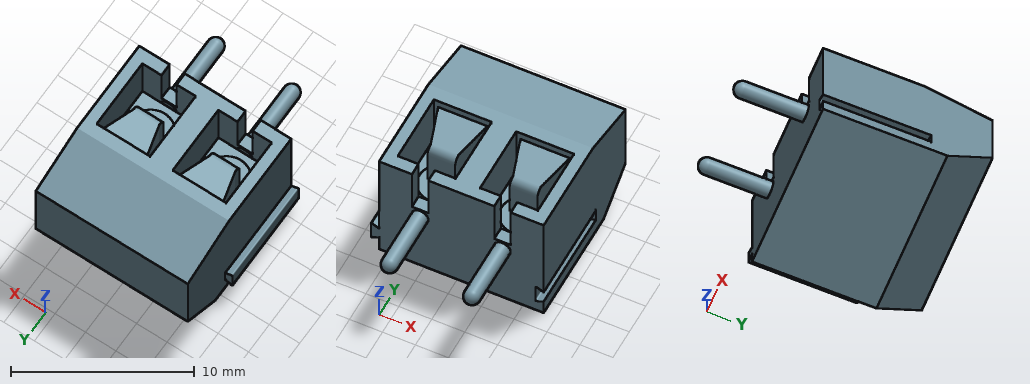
import cadquery as cq
import math


POLES = 2
PITCH = 5.0
HOUSING_WIDTH = POLES * PITCH
HOUSING_DEPTH = 10.0
HOUSING_HEIGHT = 7.6
TOP_FLAT_DEPTH = 6.0
TOP_SLOPE_ANGLE = 15
BOTTOM_FLAT_DEPTH = 7.33
BOTTOM_SLOPE_ANGLE = 35

POCKET_WIDTH = 3.51
POCKET_FRONT_Y = 0.8
POCKET_BACK_Y = 5.2
POCKET_FLOOR_Z = HOUSING_HEIGHT - 3.41
NOTCH_WIDTH = 1.0
NOTCH_FLOOR_Z = HOUSING_HEIGHT - 2.81

RAIL_LENGTH = 6.39
RAIL_CENTER_Z = 1.39
RAIL_PROJECTION = 0.5
RAIL_ROOT_HEIGHT = 0.81
RAIL_FLANK_ANGLE = 25
RAIL_CORNER_RADIUS = 0.07

PIN_RADIUS = 0.5
PIN_PROJECTION = 4.2
PIN_Z = 4.19

CLAMP_BACK_WIDTH = 3.0
CLAMP_FRONT_WIDTH = 1.69
CLAMP_FRONT_Y = 2.57
CLAMP_BACK_Z = HOUSING_HEIGHT - 0.51
CLAMP_SLOPE_ANGLE = 10
CLAMP_NOSE_RADIUS = 0.5

DISC_RADIUS = 1.33
DISC_THICKNESS = 1.0
DISC_Y = 2.57

POLE_CENTERS = [(pole + 0.5) * PITCH for pole in range(POLES)]


def side_prism(outline, width, center_x):
    """Extrude a closed YZ outline symmetrically about X = center_x."""
    return outline.extrude(width / 2, both=True).translate((center_x, 0, 0))


def housing_shell():
    """Block with the top and bottom edges of its back bevelled."""
    top_drop = (HOUSING_DEPTH - TOP_FLAT_DEPTH) * math.tan(math.radians(TOP_SLOPE_ANGLE))
    bottom_rise = (HOUSING_DEPTH - BOTTOM_FLAT_DEPTH) * math.tan(math.radians(BOTTOM_SLOPE_ANGLE))
    outline = cq.Workplane("YZ").polyline([
        (0, 0),
        (BOTTOM_FLAT_DEPTH, 0),
        (HOUSING_DEPTH, bottom_rise),
        (HOUSING_DEPTH, HOUSING_HEIGHT - top_drop),
        (TOP_FLAT_DEPTH, HOUSING_HEIGHT),
        (0, HOUSING_HEIGHT),
    ]).close()
    return side_prism(outline, HOUSING_WIDTH, HOUSING_WIDTH / 2)


def dovetail(root_x):
    """Dovetail bar that widens toward -X from its root, with its outer corners rounded."""
    tip_x = root_x - RAIL_PROJECTION
    root_half = RAIL_ROOT_HEIGHT / 2
    tip_half = root_half + RAIL_PROJECTION * math.tan(math.radians(RAIL_FLANK_ANGLE))
    return (
        cq.Workplane("XZ")
        .polyline([
            (root_x, -root_half),
            (tip_x, -tip_half),
            (tip_x, tip_half),
            (root_x, root_half),
        ])
        .close()
        .extrude(-RAIL_LENGTH)
        .edges("<X and |Y")
        .fillet(RAIL_CORNER_RADIUS)
        .translate((0, 0, RAIL_CENTER_Z))
    )


def wire_opening(center_x):
    """Pocket open to the top, together with its notch through the front wall."""
    pocket = cq.Workplane("XY").box(
        POCKET_WIDTH, POCKET_BACK_Y - POCKET_FRONT_Y, HOUSING_HEIGHT - POCKET_FLOOR_Z,
        centered=(True, False, False),
    ).translate((center_x, POCKET_FRONT_Y, POCKET_FLOOR_Z))
    notch = cq.Workplane("XY").box(
        NOTCH_WIDTH, POCKET_FRONT_Y, HOUSING_HEIGHT - NOTCH_FLOOR_Z,
        centered=(True, False, False),
    ).translate((center_x, 0, NOTCH_FLOOR_Z))
    return pocket.union(notch)


def make_pin(center_x):
    """Round pin that ends inside the front wall and has a hemispherical tip."""
    tip_y = -PIN_PROJECTION
    shoulder_y = tip_y + PIN_RADIUS
    arc_offset = PIN_RADIUS * math.sqrt(0.5)
    return (
        cq.Workplane("YZ")
        .moveTo(tip_y, 0)
        .threePointArc((shoulder_y - arc_offset, arc_offset), (shoulder_y, PIN_RADIUS))
        .lineTo(POCKET_FRONT_Y, PIN_RADIUS)
        .lineTo(POCKET_FRONT_Y, 0)
        .close()
        .revolve(360, (0, 0, 0), (1, 0, 0))
        .translate((center_x, 0, PIN_Z))
    )


def make_clamp(center_x):
    """Block with a sloping top and a rounded nose, narrowing toward the nose."""
    slope = math.radians(CLAMP_SLOPE_ANGLE)
    nose_y = CLAMP_FRONT_Y + CLAMP_NOSE_RADIUS
    slope_end_y = nose_y - CLAMP_NOSE_RADIUS * math.sin(slope)
    slope_end_z = CLAMP_BACK_Z - (POCKET_BACK_Y - slope_end_y) * math.tan(slope)
    nose_z = slope_end_z - CLAMP_NOSE_RADIUS * math.cos(slope)
    middle = (math.pi / 2 - slope) / 2
    arc_middle = (
        nose_y - CLAMP_NOSE_RADIUS * math.cos(middle),
        nose_z + CLAMP_NOSE_RADIUS * math.sin(middle),
    )
    profile = (
        cq.Workplane("YZ")
        .moveTo(POCKET_BACK_Y, POCKET_FLOOR_Z)
        .lineTo(POCKET_BACK_Y, CLAMP_BACK_Z)
        .lineTo(slope_end_y, slope_end_z)
        .threePointArc(arc_middle, (CLAMP_FRONT_Y, nose_z))
        .lineTo(CLAMP_FRONT_Y, POCKET_FLOOR_Z)
        .close()
    )
    body = side_prism(profile, CLAMP_BACK_WIDTH, center_x)
    plan = (
        cq.Workplane("XY")
        .polyline([
            (center_x - CLAMP_FRONT_WIDTH / 2, CLAMP_FRONT_Y),
            (center_x + CLAMP_FRONT_WIDTH / 2, CLAMP_FRONT_Y),
            (center_x + CLAMP_FRONT_WIDTH / 2, slope_end_y),
            (center_x + CLAMP_BACK_WIDTH / 2, POCKET_BACK_Y),
            (center_x - CLAMP_BACK_WIDTH / 2, POCKET_BACK_Y),
            (center_x - CLAMP_FRONT_WIDTH / 2, slope_end_y),
        ])
        .close()
        .extrude(HOUSING_HEIGHT)
    )
    return body.intersect(plan).solids()


def make_disc(center_x):
    """Flat disc whose top is level with the pocket floor."""
    return (
        cq.Workplane("XY", origin=(center_x, DISC_Y, POCKET_FLOOR_Z))
        .circle(DISC_RADIUS)
        .extrude(-DISC_THICKNESS)
    )


pins = [make_pin(x) for x in POLE_CENTERS]
clamps = [make_clamp(x) for x in POLE_CENTERS]
discs = [make_disc(x) for x in POLE_CENTERS]

housing = housing_shell().union(dovetail(0)).cut(dovetail(HOUSING_WIDTH))
for x in POLE_CENTERS:
    housing = housing.cut(wire_opening(x))
for insert in pins + discs:
    housing = housing.cut(insert)

result = cq.Compound.makeCompound([
    housing.solids().val(),
    *[body.val() for body in pins + clamps + discs],
])